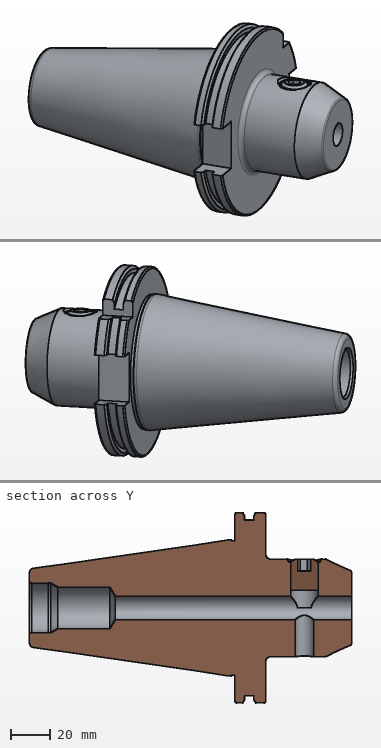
import cadquery as cq
import math

total_length = 164.8

gauge_x = 101.8
gauge_radius = 35.0
taper_ratio = 7 / 24
taper_end_radius = gauge_radius - gauge_x * taper_ratio / 2
taper_end_fillet = 2.5

neck_land_end_x = 103.1
neck_bevel = 0.3
neck_radius = gauge_radius - neck_bevel

flange_start_x = 105.0
flange_end_x = 121.0
flange_radius = 48.8
flange_chamfer = 0.8
groove_start_x = 110.0
groove_width = 4.6
groove_floor_radius = 45.0
groove_bevel_depth = 1.6
groove_bevel_width = groove_bevel_depth * math.tan(math.radians(30))

slot_width = 25.7
slot_floor_front = 35.5
slot_floor_back = 37.5
notch_corner = 30.0

nose_radius = 25.0
nose_root_fillet = 2.5
nose_cone_x = 151.5
nose_cone_angle = 25.0
nose_end_radius = nose_radius - (total_length - nose_cone_x) * math.tan(math.radians(nose_cone_angle))
nose_end_fillet = 1.0

mouth_radius = 13.2
pilot_radius = 12.5
mouth_depth = 1.3
pilot_depth = 9.7
relief_radius = 12.7
relief_depth = 11.0
thread_radius = 10.5
thread_start = 14.7
thread_end = 41.2
through_radius = 6.0
drill_half_angle = 59.0
drill_cone_length = (thread_radius - through_radius) / math.tan(math.radians(drill_half_angle))

screw_x = 140.5
screw_radius = 7.0
screw_top_radius = 5.0
screw_bevel_height = 1.2
screw_top_z = 24.9
screw_length = 16.0
socket_width = 6.0
socket_depth = 6.0
socket_turn = 6.0
seat_radius = 7.9
seat_depth = 1.5
seat_half_angle = 30.0
seat_mouth_radius = seat_radius + seat_depth * math.tan(math.radians(seat_half_angle))
opposite_hole_radius = 4.6

cut_margin = 1.6


def revolve_about_x(outline):
    """Turn an outline of the XY plane, closed along the X axis, about that axis."""
    return outline.close().revolve(360, (0, 0, 0), (1, 0, 0))


def make_taper():
    outline = (
        cq.Workplane("XY")
        .lineTo(0, taper_end_radius)
        .lineTo(gauge_x, gauge_radius)
        .lineTo(neck_land_end_x, gauge_radius)
        .lineTo(neck_land_end_x + neck_bevel, neck_radius)
        .lineTo(flange_start_x, neck_radius)
        .lineTo(flange_start_x, 0)
    )
    return revolve_about_x(outline).faces("<X").edges().fillet(taper_end_fillet)


def make_flange():
    groove_end_x = groove_start_x + groove_width
    bevel_floor_radius = flange_radius - groove_bevel_depth
    outline = (
        cq.Workplane("XY")
        .moveTo(flange_start_x, 0)
        .lineTo(flange_start_x, flange_radius - flange_chamfer)
        .lineTo(flange_start_x + flange_chamfer, flange_radius)
        .lineTo(groove_start_x - groove_bevel_width, flange_radius)
        .lineTo(groove_start_x, bevel_floor_radius)
        .lineTo(groove_start_x, groove_floor_radius)
        .lineTo(groove_end_x, groove_floor_radius)
        .lineTo(groove_end_x, bevel_floor_radius)
        .lineTo(groove_end_x + groove_bevel_width, flange_radius)
        .lineTo(flange_end_x - flange_chamfer, flange_radius)
        .lineTo(flange_end_x, flange_radius - flange_chamfer)
        .lineTo(flange_end_x, 0)
    )
    return revolve_about_x(outline)


def make_nose():
    outline = (
        cq.Workplane("XY")
        .moveTo(flange_end_x, 0)
        .lineTo(flange_end_x, nose_radius + nose_root_fillet)
        .radiusArc((flange_end_x + nose_root_fillet, nose_radius), -nose_root_fillet)
        .lineTo(nose_cone_x, nose_radius)
        .lineTo(total_length, nose_end_radius)
        .lineTo(total_length, 0)
    )
    return revolve_about_x(outline).faces(">X").edges().fillet(nose_end_fillet)


def rim_cutter(y_start, y_end, z_start, z_end):
    """Box that cuts the flange rim over the whole flange width."""
    size = (flange_end_x - flange_start_x, y_end - y_start, z_end - z_start)
    return cq.Workplane("XY").box(*size, centered=False).translate((flange_start_x, y_start, z_start))


def make_rim_cuts():
    beyond_rim = flange_radius + cut_margin
    half_slot = slot_width / 2
    front_slot = rim_cutter(-beyond_rim, -slot_floor_front, -half_slot, half_slot)
    back_slot = rim_cutter(slot_floor_back, beyond_rim, -half_slot, half_slot)
    notch = rim_cutter(notch_corner, beyond_rim, notch_corner, beyond_rim)
    return front_slot.union(back_slot).union(notch)


def make_bore():
    outline = (
        cq.Workplane("XY")
        .lineTo(0, mouth_radius)
        .lineTo(mouth_depth, pilot_radius)
        .lineTo(pilot_depth, pilot_radius)
        .lineTo(pilot_depth, relief_radius)
        .lineTo(relief_depth, relief_radius)
        .lineTo(thread_start, thread_radius)
        .lineTo(thread_end, thread_radius)
        .lineTo(thread_end + drill_cone_length, through_radius)
        .lineTo(total_length, through_radius)
        .lineTo(total_length, 0)
    )
    return revolve_about_x(outline)


def vertical_cylinder(radius, z_start, z_end):
    """Cylinder on the axis of the clamping screw."""
    return cq.Workplane("XY", origin=(screw_x, 0, z_start)).circle(radius).extrude(z_end - z_start)


def make_screw_hole():
    """Flat-floored conical seat and screw hole from the top, and a smaller hole opposite, into the bore."""
    hole = vertical_cylinder(screw_radius, 0, nose_radius)
    opposite_hole = vertical_cylinder(opposite_hole_radius, -nose_radius, 0)
    seat_floor = cq.Vector(screw_x, 0, nose_radius - seat_depth)
    seat = cq.Workplane(cq.Solid.makeCone(seat_radius, seat_mouth_radius, seat_depth, pnt=seat_floor))
    return hole.union(opposite_hole).union(seat)


def make_holder():
    holder = make_taper().union(make_flange()).union(make_nose())
    return holder.cut(make_rim_cuts()).cut(make_bore()).cut(make_screw_hole())


def make_clamping_screw():
    screw = vertical_cylinder(screw_radius, screw_top_z - screw_length, screw_top_z)
    bevel_width = screw_radius - screw_top_radius
    screw = screw.faces(">Z").edges().chamfer(screw_bevel_height, bevel_width)
    socket_diameter = socket_width / math.cos(math.radians(30))
    socket = (
        cq.Workplane("XY")
        .polygon(6, socket_diameter)
        .extrude(socket_depth)
        .rotate((0, 0, 0), (0, 0, 1), socket_turn)
        .translate((screw_x, 0, screw_top_z - socket_depth))
    )
    return screw.cut(socket)


holder = make_holder()
clamping_screw = make_clamping_screw()

result = cq.Compound.makeCompound([holder.solids().val(), clamping_screw.solids().val()])